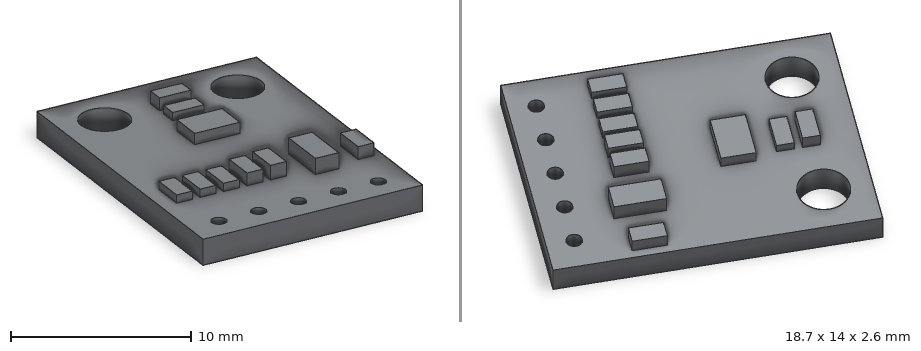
import cadquery as cq

BOARD_LENGTH = 18.7
BOARD_WIDTH = 14.0
BOARD_THICKNESS = 1.6
TOTAL_HEIGHT = 2.6

MOUNT_DIAMETER = 3.0
MOUNT_X = 2.77
MOUNT_SPACING = 8.49

PIN_DIAMETER = 0.9
PIN_X = 17.1
PIN_PITCH = 2.55
PIN_COUNT = 5

REGULATOR_HEIGHT = TOTAL_HEIGHT - BOARD_THICKNESS
TALL_HEIGHT = 0.9
MEDIUM_HEIGHT = 0.79
SENSOR_HEIGHT = 0.7
LOW_HEIGHT = 0.5

CHIP_LENGTH = 2.0
CHIP_WIDTH = 1.01

COLUMN_X = 12.98
COLUMN_TOP_Y = 7.48
COLUMN_PITCH = 1.5
COLUMN_HEIGHTS = (TALL_HEIGHT, MEDIUM_HEIGHT, LOW_HEIGHT, LOW_HEIGHT, LOW_HEIGHT)

EDGE_CHIP_X = 13.1
EDGE_CHIP_Y = 13.0

PAIR_X = 2.77
PAIR_Y = 6.98
PAIR_PITCH = 1.48
PAIR_HEIGHTS = (MEDIUM_HEIGHT, LOW_HEIGHT)

SENSOR_LENGTH = 2.0
SENSOR_WIDTH = 2.88
SENSOR_X = 7.0
SENSOR_Y = 6.98
REGULATOR_LENGTH = 3.0
REGULATOR_WIDTH = 1.5
REGULATOR_X = 13.1
REGULATOR_Y = 10.23


def component(x, y, length, width, height):
    """Block centred at (x, y), standing on the board's top face."""
    block = cq.Workplane("XY").box(length, width, height, centered=(True, True, False))
    return block.translate((x, y, BOARD_THICKNESS))


def make_board():
    """Plate with two mounting holes and a row of pin holes."""
    mid_y = BOARD_WIDTH / 2
    mounts = [(MOUNT_X, mid_y + side * MOUNT_SPACING / 2) for side in (-1, 1)]
    pins = [(PIN_X, mid_y + (i - (PIN_COUNT - 1) / 2) * PIN_PITCH) for i in range(PIN_COUNT)]
    plate = cq.Workplane("XY").box(BOARD_LENGTH, BOARD_WIDTH, BOARD_THICKNESS, centered=False)
    plate = plate.faces(">Z").workplane(origin=(0, 0, 0)).pushPoints(mounts).hole(MOUNT_DIAMETER)
    return plate.faces(">Z").workplane(origin=(0, 0, 0)).pushPoints(pins).hole(PIN_DIAMETER)


result = make_board()

for i, height in enumerate(COLUMN_HEIGHTS):
    chip_y = COLUMN_TOP_Y - i * COLUMN_PITCH
    result = result.union(component(COLUMN_X, chip_y, CHIP_LENGTH, CHIP_WIDTH, height))

for i, height in enumerate(PAIR_HEIGHTS):
    chip_x = PAIR_X + i * PAIR_PITCH
    result = result.union(component(chip_x, PAIR_Y, CHIP_WIDTH, CHIP_LENGTH, height))

edge_chip = component(EDGE_CHIP_X, EDGE_CHIP_Y, CHIP_LENGTH, CHIP_WIDTH, MEDIUM_HEIGHT)
sensor = component(SENSOR_X, SENSOR_Y, SENSOR_LENGTH, SENSOR_WIDTH, SENSOR_HEIGHT)
regulator = component(REGULATOR_X, REGULATOR_Y, REGULATOR_LENGTH, REGULATOR_WIDTH, REGULATOR_HEIGHT)
result = result.union(edge_chip).union(sensor).union(regulator)